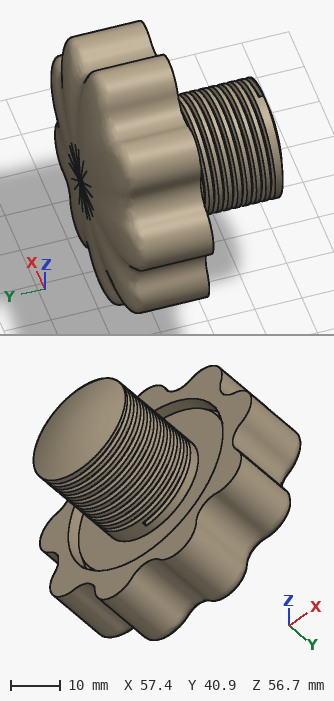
import cadquery as cq
import math


overall_width = 57.4

lobe_count = 9
lobe_pitch = 360.0 / lobe_count
lobe_center_radius = 23.3
valley_floor_radius = 24.05
lobe_radius = overall_width / 2 - lobe_center_radius * math.cos(math.radians(lobe_pitch / 4))

rim_height = 14.0
crown_height = 4.9
crown_sections = 8
crown_exponent = 2.5
crown_end_angle = 88.0
recess_diameter = 42.0
recess_floor_diameter = 40.0
recess_depth = 2.0
moat_depth = 4.0

shank_radius = 25.0 / 2
tip_height = 2.0
shank_length = 20.0

thread_pitch = 2.0
thread_turns = 9.5
groove_width = 1.0
groove_depth = 1.05
thread_start_inset = 0.6
groove_overlap = 0.1


def polar(radius, angle):
    a = math.radians(angle)
    return (radius * math.cos(a), radius * math.sin(a))


def valley_radius():
    """Radius of the valley arc that touches both neighbouring lobe arcs."""
    cosine = math.cos(math.radians(lobe_pitch / 2))
    c, v, r = lobe_center_radius, valley_floor_radius, lobe_radius
    return (c**2 + v**2 - 2 * c * v * cosine - r**2) / (2 * (r - v + c * cosine))


def head_outline(scale, height):
    """Closed outline of alternating tangent lobe and valley arcs."""
    valley = valley_radius()
    lobe_x = lobe_center_radius
    valley_x, valley_y = polar(valley_floor_radius + valley, lobe_pitch / 2)
    share = lobe_radius / (lobe_radius + valley)
    tangent_x = lobe_x + share * (valley_x - lobe_x)
    tangent_y = share * valley_y
    tangent_radius = scale * math.hypot(tangent_x, tangent_y)
    tangent_angle = math.degrees(math.atan2(tangent_y, tangent_x))
    peak_radius = scale * (lobe_center_radius + lobe_radius)
    floor_radius = scale * valley_floor_radius

    first_lobe = -90.0
    outline = cq.Workplane("XY", origin=(0, 0, height))
    outline = outline.moveTo(*polar(tangent_radius, first_lobe - tangent_angle))
    for i in range(lobe_count):
        lobe = first_lobe + i * lobe_pitch
        next_lobe = lobe + lobe_pitch
        outline = outline.threePointArc(polar(peak_radius, lobe), polar(tangent_radius, lobe + tangent_angle))
        outline = outline.threePointArc(
            polar(floor_radius, lobe + lobe_pitch / 2),
            polar(tangent_radius, next_lobe - tangent_angle),
        )
    return outline.close()


def make_crown():
    """Dome whose sections are shrinking copies of the head outline."""
    wires = []
    last_angle = math.radians(crown_end_angle)
    for i in range(crown_sections):
        angle = last_angle * i / (crown_sections - 1)
        scale = math.cos(angle) ** (2 / crown_exponent)
        rise = math.sin(angle) ** (2 / crown_exponent)
        wires.append(head_outline(scale, rim_height + crown_height * rise).val())
    return cq.Workplane(cq.Solid.makeLoft(wires))


def make_recess():
    """Round recess with a deeper narrow ring around its floor."""
    recess = cq.Workplane("XY").circle(recess_diameter / 2).extrude(recess_depth)
    moat = (
        cq.Workplane("XY")
        .circle(recess_diameter / 2)
        .circle(recess_floor_diameter / 2)
        .extrude(moat_depth)
    )
    return recess.union(moat)


def make_shank():
    """Round shank with a domed tip, rooted in the recess floor."""
    tip_z = -shank_length - tip_height
    dome_radius = (shank_radius**2 + tip_height**2) / (2 * tip_height)
    mid_x = shank_radius / 2
    mid_z = tip_z + dome_radius - math.sqrt(dome_radius**2 - mid_x**2)
    return (
        cq.Workplane("XZ")
        .moveTo(0, recess_depth)
        .lineTo(shank_radius, recess_depth)
        .lineTo(shank_radius, -shank_length)
        .threePointArc((mid_x, mid_z), (0, tip_z))
        .close()
        .revolve(360, (0, 0, 0), (0, 1, 0))
    )


def make_thread_groove():
    """Right-handed V groove that starts near the tip."""
    helix = cq.Wire.makeHelix(thread_pitch, thread_pitch * thread_turns, shank_radius)
    mouth_radius = shank_radius + groove_overlap
    mouth_half = groove_width / 2 * (1 + groove_overlap / groove_depth)
    groove = (
        cq.Workplane("XZ")
        .polyline([
            (mouth_radius, -mouth_half),
            (shank_radius - groove_depth, 0),
            (mouth_radius, mouth_half),
        ])
        .close()
        .sweep(cq.Workplane(helix), isFrenet=True)
    )
    return groove.rotate((0, 0, 0), (0, 0, 1), -90).translate((0, 0, thread_start_inset - shank_length))


head = head_outline(1, 0).extrude(rim_height).union(make_crown()).cut(make_recess())
shank = make_shank().cut(make_thread_groove())
knob = head.union(shank)

result = knob.rotate((0, 0, 0), (1, 0, 0), -90)